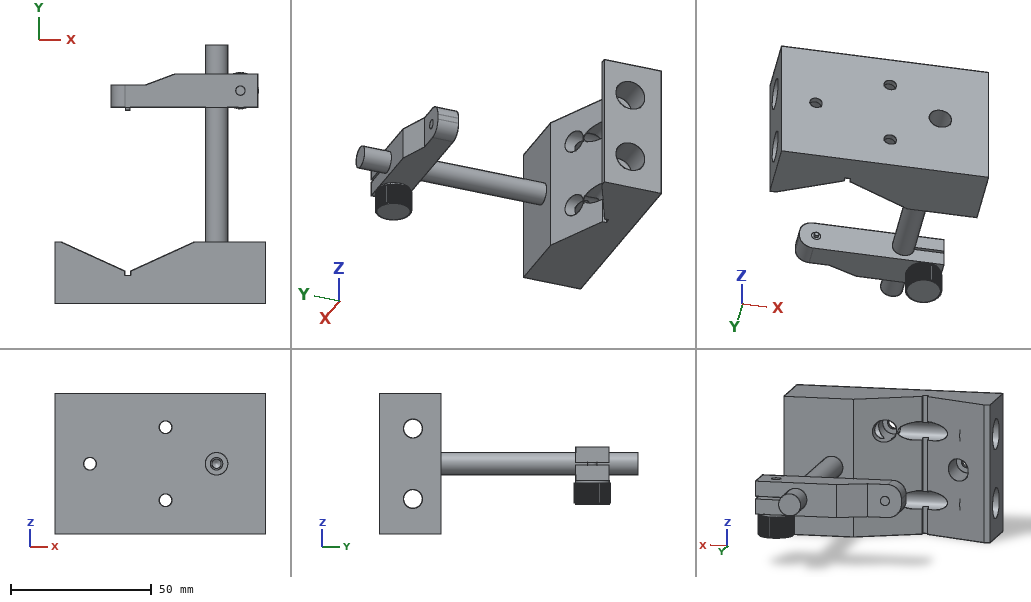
import cadquery as cq
import math

ALONG_X = cq.Vector(1, 0, 0)
ALONG_Y = cq.Vector(0, 1, 0)
ALONG_Z = cq.Vector(0, 0, 1)

BASE_LENGTH = 75.0
BASE_DEPTH = 22.0
BASE_HEIGHT = 50.0
OVERALL_DEPTH = 92.0

VEE_X = 25.9
VEE_HALF_WIDTH = 23.7
VEE_LIP_Y = 11.6
RELIEF_WIDTH = 2.0
RELIEF_BOTTOM_Y = 10.0

BOLT_HOLE_Y = 12.0
BOLT_HOLE_Z = 12.5
BOLT_HOLE_DIAMETER = 6.6
BOLT_BORE_DIAMETER = 11.0
BOLT_BORE_DEPTH = 12.0

SCREW_HOLE_DIAMETER = 4.4
SCREW_HOLE_LENGTH = 2.0
SCREW_BORE_DIAMETER = 8.0
SCREW_HOLE_OFFSET_X = 13.4
SCREW_HOLE_OFFSET_Z = 13.0
SCREW_HOLE_PLACES = [
    (VEE_X - SCREW_HOLE_OFFSET_X, 0),
    (VEE_X + SCREW_HOLE_OFFSET_X, SCREW_HOLE_OFFSET_Z),
    (VEE_X + SCREW_HOLE_OFFSET_X, -SCREW_HOLE_OFFSET_Z),
]

POST_X = 57.5
POST_DIAMETER = 8.0
POST_LENGTH = OVERALL_DEPTH - BASE_DEPTH
TAP_HOLE_DIAMETER = 3.3
TAP_HOLE_DEPTH = 10.0
DRILL_POINT_ANGLE = 118.0

POST_BORE_DIAMETER = 8.0
POST_BORE_DEPTH = 10.0

ARM_TIP_X = VEE_X - 6.0
ARM_END_X = 72.2
ARM_FRONT_Y = 69.7
ARM_DEPTH = 12.0
ARM_TIP_DEPTH = 8.0
ARM_HEIGHT = 12.0
ARM_TIP_RADIUS = 5.0
SLOPE_START_X = 32.2
SLOPE_END_X = 42.8
SLIT_WIDTH = 1.0

TIP_SCREW_DIAMETER = 3.3
TIP_POINT_DIAMETER = 1.7
TIP_POINT_LENGTH = 1.0

THUMB_SCREW_X = 66.0
THUMB_SCREW_Y = ARM_FRONT_Y + ARM_DEPTH / 2
STUD_DIAMETER = 3.3
KNOB_DIAMETER = 13.0
KNOB_CORE_DIAMETER = 12.05
KNOB_HEIGHT = 8.5
KNOB_TOP_STEP = 0.8
KNOB_BOTTOM_STEP = 0.5
KNURL_TEETH = 90


def cylinder(diameter, length, start, direction):
    """Round bar that runs from the start point along the direction."""
    return cq.Workplane(cq.Solid.makeCylinder(diameter / 2, length, cq.Vector(*start), direction))


def base_outline():
    """Outline of the base in X and Y, with the V-groove and its relief slot."""
    half_relief = RELIEF_WIDTH / 2
    return [
        (0, 0),
        (BASE_LENGTH, 0),
        (BASE_LENGTH, BASE_DEPTH),
        (VEE_X + VEE_HALF_WIDTH, BASE_DEPTH),
        (VEE_X + half_relief, VEE_LIP_Y),
        (VEE_X + half_relief, RELIEF_BOTTOM_Y),
        (VEE_X - half_relief, RELIEF_BOTTOM_Y),
        (VEE_X - half_relief, VEE_LIP_Y),
        (VEE_X - VEE_HALF_WIDTH, BASE_DEPTH),
        (0, BASE_DEPTH),
    ]


def make_base():
    base = cq.Workplane("XY").polyline(base_outline()).close().extrude(BASE_HEIGHT / 2, both=True)

    for z in (-BOLT_HOLE_Z, BOLT_HOLE_Z):
        mouth = (0, BOLT_HOLE_Y, z)
        base = base.cut(cylinder(BOLT_HOLE_DIAMETER, BASE_LENGTH, mouth, ALONG_X))
        base = base.cut(cylinder(BOLT_BORE_DIAMETER, BOLT_BORE_DEPTH, mouth, ALONG_X))

    bore_depth = BASE_DEPTH - SCREW_HOLE_LENGTH
    for x, z in SCREW_HOLE_PLACES:
        base = base.cut(cylinder(SCREW_HOLE_DIAMETER, SCREW_HOLE_LENGTH, (x, 0, z), ALONG_Y))
        base = base.cut(cylinder(SCREW_BORE_DIAMETER, bore_depth, (x, SCREW_HOLE_LENGTH, z), ALONG_Y))

    post_mouth = (POST_X, 0, 0)
    base = base.cut(cylinder(SCREW_HOLE_DIAMETER, BASE_DEPTH, post_mouth, ALONG_Y))
    return base.cut(cylinder(POST_BORE_DIAMETER, POST_BORE_DEPTH, post_mouth, ALONG_Y))


def make_post():
    foot = (POST_X, BASE_DEPTH, 0)
    post = cylinder(POST_DIAMETER, POST_LENGTH, foot, ALONG_Y)
    post = post.cut(cylinder(TAP_HOLE_DIAMETER, TAP_HOLE_DEPTH, foot, ALONG_Y))

    tap_radius = TAP_HOLE_DIAMETER / 2
    point_length = tap_radius / math.tan(math.radians(DRILL_POINT_ANGLE / 2))
    point_start = cq.Vector(POST_X, BASE_DEPTH + TAP_HOLE_DEPTH, 0)
    drill_point = cq.Solid.makeCone(tap_radius, 0, point_length, point_start, ALONG_Y)
    return post.cut(cq.Workplane(drill_point))


def make_arm():
    back_y = ARM_FRONT_Y + ARM_DEPTH
    tip_back_y = ARM_FRONT_Y + ARM_TIP_DEPTH
    outline = [
        (ARM_TIP_X, ARM_FRONT_Y),
        (ARM_END_X, ARM_FRONT_Y),
        (ARM_END_X, back_y),
        (SLOPE_END_X, back_y),
        (SLOPE_START_X, tip_back_y),
        (ARM_TIP_X, tip_back_y),
    ]
    arm = cq.Workplane("XY").polyline(outline).close().extrude(ARM_HEIGHT / 2, both=True)
    arm = arm.edges("|Y and <X").fillet(ARM_TIP_RADIUS)

    arm = arm.cut(cylinder(POST_DIAMETER, ARM_DEPTH, (POST_X, ARM_FRONT_Y, 0), ALONG_Y))
    slit_length = ARM_END_X - POST_X
    slit_centre = (POST_X + slit_length / 2, ARM_FRONT_Y + ARM_DEPTH / 2, 0)
    arm = arm.cut(cq.Workplane("XY").box(slit_length, ARM_DEPTH, SLIT_WIDTH).translate(slit_centre))

    arm = arm.cut(make_stud())
    return arm.cut(make_tip_screw_shank())


def make_tip_screw_shank():
    return cylinder(TIP_SCREW_DIAMETER, ARM_TIP_DEPTH, (VEE_X, ARM_FRONT_Y, 0), ALONG_Y)


def make_tip_screw():
    point_start = (VEE_X, ARM_FRONT_Y - TIP_POINT_LENGTH, 0)
    point = cylinder(TIP_POINT_DIAMETER, TIP_POINT_LENGTH, point_start, ALONG_Y)
    return make_tip_screw_shank().union(point)


def make_stud():
    stud_start = (THUMB_SCREW_X, THUMB_SCREW_Y, -ARM_HEIGHT / 2)
    return cylinder(STUD_DIAMETER, ARM_HEIGHT, stud_start, ALONG_Z)


def knurl_outline():
    """Straight knurl: points that alternate between tooth tips and tooth roots."""
    half_pitch = math.pi / KNURL_TEETH
    points = []
    for tooth in range(KNURL_TEETH):
        tip_angle = 2 * half_pitch * tooth
        root_angle = tip_angle + half_pitch
        for diameter, angle in ((KNOB_DIAMETER, tip_angle), (KNOB_CORE_DIAMETER, root_angle)):
            points.append((diameter / 2 * math.cos(angle), diameter / 2 * math.sin(angle)))
    return points


def make_thumb_screw():
    knob_bottom = (THUMB_SCREW_X, THUMB_SCREW_Y, -ARM_HEIGHT / 2 - KNOB_HEIGHT)
    knurl_height = KNOB_HEIGHT - KNOB_TOP_STEP - KNOB_BOTTOM_STEP
    knurl = cq.Workplane("XY").polyline(knurl_outline()).close().extrude(knurl_height)
    knurl = knurl.translate(knob_bottom).translate(ALONG_Z * KNOB_BOTTOM_STEP)

    core = cylinder(KNOB_CORE_DIAMETER, KNOB_HEIGHT, knob_bottom, ALONG_Z)
    return core.union(knurl).union(make_stud())


base = make_base()
post = make_post()
arm = make_arm()
tip_screw = make_tip_screw()
thumb_screw = make_thumb_screw()

result = cq.Compound.makeCompound(
    [base.val(), post.val(), arm.val(), tip_screw.val(), thumb_screw.val()]
)